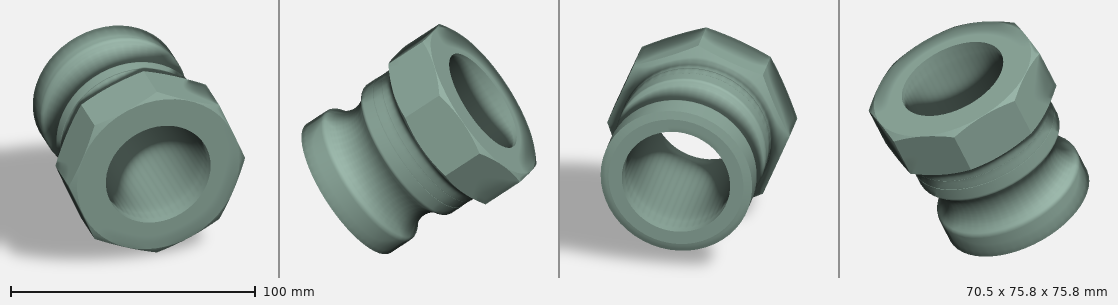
import cadquery as cq
import math

LENGTH = 70.5
BORE_RADIUS = 45.0 / 2
BODY_RADIUS = 63.0 / 2

NOSE_FACE_RADIUS = 28.0
NOSE_CHAMFER_LENGTH = 0.9

WAIST_CENTER = 22.05
WAIST_FLOOR_RADIUS = 26.1
WAIST_ARC_RADIUS = 11.2
FRONT_RIM_ROUND_RADIUS = 2.4
BACK_RIM_ROUND_RADIUS = 1.9

BAND_RADIUS = 62.7 / 2
RING_GROOVE_CENTERS = (37.9, 42.6)
RING_GROOVE_WIDTH = 0.3
RING_GROOVE_RADIUS = 62.5 / 2

NUT_SIDES = 8
CORNER_RADIUS = 37.9
CONE_ANGLE = math.radians(60)
NECK_END = 45.9
NECK_FILLET_RADIUS = 2.3
END_FACE_RADIUS = 34.85


def waist_points(rim_round_radius):
    """Half-widths and radii of the waist arc end, rim round middle and rim round end."""
    arc_center_radius = WAIST_FLOOR_RADIUS + WAIST_ARC_RADIUS
    rim_center_radius = BODY_RADIUS - rim_round_radius
    center_distance = WAIST_ARC_RADIUS + rim_round_radius
    tangent_angle = math.acos((arc_center_radius - rim_center_radius) / center_distance)
    half_width = center_distance * math.sin(tangent_angle)
    arc_end = (
        WAIST_ARC_RADIUS * math.sin(tangent_angle),
        arc_center_radius - WAIST_ARC_RADIUS * math.cos(tangent_angle),
    )
    rim_middle = (
        half_width - rim_round_radius * math.sin(tangent_angle / 2),
        rim_center_radius + rim_round_radius * math.cos(tangent_angle / 2),
    )
    return arc_end, rim_middle, (half_width, BODY_RADIUS)


def before_waist(point):
    return WAIST_CENTER - point[0], point[1]


def after_waist(point):
    return WAIST_CENTER + point[0], point[1]


def neck_fillet_point(angle):
    """Point on the neck fillet where its tangent makes the given angle with the X axis."""
    return (
        NECK_END + NECK_FILLET_RADIUS * math.sin(angle),
        BODY_RADIUS + NECK_FILLET_RADIUS * (1 - math.cos(angle)),
    )


def turned_body():
    """Solid of revolution holding every round face, including both nut cones."""
    front_arc_end, front_rim_middle, front_rim_end = waist_points(FRONT_RIM_ROUND_RADIUS)
    back_arc_end, back_rim_middle, back_rim_end = waist_points(BACK_RIM_ROUND_RADIUS)
    fillet_end = neck_fillet_point(CONE_ANGLE)
    cone_slope = math.tan(CONE_ANGLE)
    front_cone_end = fillet_end[0] + (CORNER_RADIUS - fillet_end[1]) / cone_slope
    back_cone_start = LENGTH - (CORNER_RADIUS - END_FACE_RADIUS) / cone_slope
    profile = (
        cq.Workplane("XY")
        .moveTo(0, 0)
        .lineTo(0, NOSE_FACE_RADIUS)
        .lineTo(NOSE_CHAMFER_LENGTH, BODY_RADIUS)
        .lineTo(*before_waist(front_rim_end))
        .threePointArc(before_waist(front_rim_middle), before_waist(front_arc_end))
        .threePointArc((WAIST_CENTER, WAIST_FLOOR_RADIUS), after_waist(back_arc_end))
        .threePointArc(after_waist(back_rim_middle), after_waist(back_rim_end))
        .lineTo(NECK_END, BODY_RADIUS)
        .threePointArc(neck_fillet_point(CONE_ANGLE / 2), fillet_end)
        .lineTo(front_cone_end, CORNER_RADIUS)
        .lineTo(back_cone_start, CORNER_RADIUS)
        .lineTo(LENGTH, END_FACE_RADIUS)
        .lineTo(LENGTH, 0)
        .close()
    )
    return profile.revolve(360, (0, 0, 0), (1, 0, 0))


def surface_ring(start, end, floor_radius):
    """Ring of material to remove around the body between two X positions."""
    return (
        cq.Workplane("YZ", origin=(start, 0, 0))
        .circle(CORNER_RADIUS)
        .circle(floor_radius)
        .extrude(end - start)
    )


def octagonal_bar():
    """Octagonal prism along the whole length, which trims only the nut."""
    return cq.Workplane("YZ").polygon(NUT_SIDES, 2 * CORNER_RADIUS).extrude(LENGTH)


def bore():
    return cq.Workplane("YZ").circle(BORE_RADIUS).extrude(LENGTH)


result = turned_body().intersect(octagonal_bar()).cut(bore())
result = result.cut(surface_ring(*RING_GROOVE_CENTERS, BAND_RADIUS))
for groove_center in RING_GROOVE_CENTERS:
    groove_start = groove_center - RING_GROOVE_WIDTH / 2
    groove_end = groove_center + RING_GROOVE_WIDTH / 2
    result = result.cut(surface_ring(groove_start, groove_end, RING_GROOVE_RADIUS))